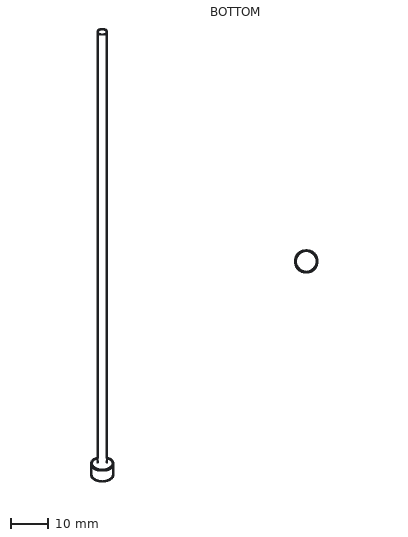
import cadquery as cq

overall_length = 150.0
head_diameter = 6.0
head_height = 4.0
head_chamfer = 0.2
shaft_diameter = 2.5
neck_fillet = 0.3

head_radius = head_diameter / 2
shaft_radius = shaft_diameter / 2
chamfer_inner_radius = head_radius - head_chamfer


def pin_profile():
    """Half section of the pin in the XZ plane, from the axis out towards -X."""
    return (
        cq.Workplane("XZ")
        .lineTo(-chamfer_inner_radius, 0)
        .lineTo(-head_radius, head_chamfer)
        .lineTo(-head_radius, head_height - head_chamfer)
        .lineTo(-chamfer_inner_radius, head_height)
        .lineTo(-shaft_radius - neck_fillet, head_height)
        .radiusArc((-shaft_radius, head_height + neck_fillet), -neck_fillet)
        .lineTo(-shaft_radius, overall_length)
        .lineTo(0, overall_length)
        .close()
    )


result = pin_profile().revolve(360, (0, 0, 0), (0, 1, 0))